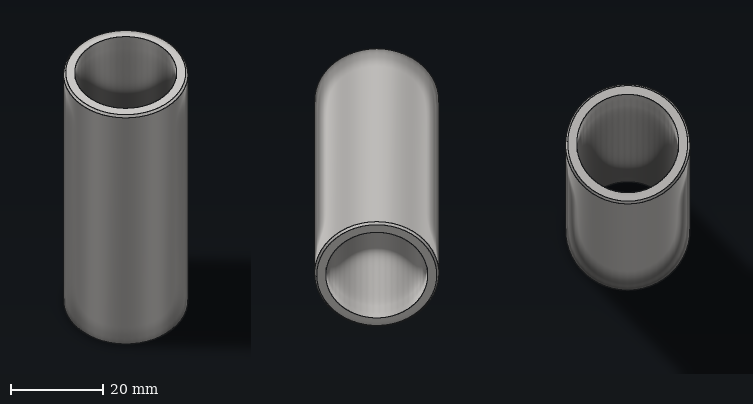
import cadquery as cq

length = 70.0
outer_diameter = 27.0
bore_diameter = 22.1
edge_chamfer = 0.5

body = cq.Workplane("XY").circle(outer_diameter / 2).extrude(length)
body = body.faces("<Z or >Z").edges().chamfer(edge_chamfer)

bore = cq.Workplane("XY").circle(bore_diameter / 2).extrude(length)

result = body.cut(bore)